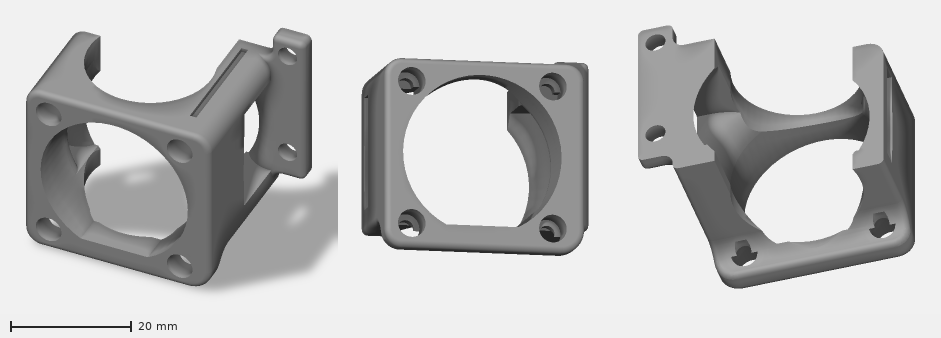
import cadquery as cq
import math

body_width = 34.0
body_height = 32.0
total_depth = 27.35
left_depth = 18.5
right_wall_inner_x = 26.7
corner_radius = 3.0
low_right_corner_radius = 4.0
edge_radius = 1.0

foot_depth = 4.0
raised_bottom_z = 5.05
foot_arc_radius = 4.0

axis_x = 16.5
axis_z = 16.0
bore_radius = 13.5
bore_floor_z = 4.0

cavity_front_y = 13.7
cavity_low_z = 8.95
cavity_high_z = 27.95
left_slot_width = 2.8
left_flare_radius = 4.1
right_front_flare_radius = 5.6
right_rear_flare_radius = 5.0

cross_bore_radius = 11.1
cross_bore_x = 16.05
cross_bore_y = 15.35

screw_pitch = 24.0
screw_head_diameter = 4.7
screw_pilot_diameter = 2.7
head_depth = 4.9
pilot_depth = 2.0

groove_x = 28.1
groove_width = 1.2
groove_depth = 0.72
groove_round = 0.3
groove_front_y = 4.85
groove_rear_y = 25.3

ear_right_x = 40.05
ear_low_z = 8.45
ear_high_z = 37.0
ear_thickness = 3.0
ear_blend_radius = 2.0
ear_hole_diameter = 3.5
ear_hole_x = 37.0
ear_low_hole_z = 13.75
ear_hole_pitch = 20.0

ear_front_y = total_depth - ear_thickness

overrun = 0.4


def box(x0, x1, y0, y1, z0, z1):
    """Block spanning the given limits."""
    return cq.Workplane("XY").box(x1 - x0, y1 - y0, z1 - z0, centered=False).translate((x0, y0, z0))


def rod_y(x, z, radius, y0, y1):
    """Cylinder along Y between y0 and y1."""
    return cq.Workplane("XZ", origin=(x, y0, z)).circle(radius).extrude(y0 - y1)


def make_shell():
    """Rounded block with the raised underside and rounded outer edges."""
    shell = box(0, body_width, 0, total_depth, 0, body_height)
    shell = shell.edges("|Y").edges("<X or >Z").fillet(corner_radius)
    low_right_edge = cq.selectors.NearestToPointSelector((body_width, total_depth / 2, 0))
    shell = shell.edges(low_right_edge).fillet(low_right_corner_radius)
    arc_center_y = foot_depth + foot_arc_radius
    arc_center_z = raised_bottom_z - foot_arc_radius
    arc_step = foot_arc_radius * math.sqrt(0.5)
    underside = (
        cq.Workplane("YZ", origin=(-overrun, 0, 0))
        .moveTo(foot_depth, -overrun)
        .lineTo(foot_depth, arc_center_z)
        .threePointArc((arc_center_y - arc_step, arc_center_z + arc_step), (arc_center_y, raised_bottom_z))
        .lineTo(total_depth + overrun, raised_bottom_z)
        .lineTo(total_depth + overrun, -overrun)
        .close()
        .extrude(body_width + 2 * overrun)
    )
    shell = shell.cut(underside)
    shell = shell.faces("<Y").edges().fillet(edge_radius)
    foot_edge = cq.selectors.NearestToPointSelector((body_width / 2, foot_depth, 0))
    return shell.edges(foot_edge).fillet(edge_radius)


def make_ear():
    """Mounting plate blended into the top and right side of the shell."""
    r = ear_blend_radius
    arc_offset = r * (1 - math.sqrt(0.5))
    wall_x = body_width
    inner_x = body_width - 2 * r
    plate = (
        cq.Workplane("XZ", origin=(0, total_depth, 0))
        .moveTo(inner_x, body_height)
        .lineTo(wall_x - r, body_height)
        .threePointArc((wall_x - arc_offset, body_height + arc_offset), (wall_x, body_height + r))
        .lineTo(wall_x, ear_high_z)
        .lineTo(ear_right_x, ear_high_z)
        .lineTo(ear_right_x, ear_low_z)
        .lineTo(wall_x + r, ear_low_z)
        .threePointArc((wall_x + arc_offset, ear_low_z - arc_offset), (wall_x, ear_low_z - r))
        .lineTo(inner_x, ear_low_z - r)
        .close()
        .extrude(ear_thickness)
    )
    plate = plate.edges("|Y").edges(">X or >Z").fillet(edge_radius)
    return plate.faces("<Y").edges().fillet(edge_radius)


def cut_ear_holes(part):
    for z in (ear_low_hole_z, ear_low_hole_z + ear_hole_pitch):
        hole = rod_y(ear_hole_x, z, ear_hole_diameter / 2, ear_front_y - overrun, total_depth + overrun)
        part = part.cut(hole)
    return part


def make_bore():
    """Round bore through the part, cut off below by the flat floor."""
    bore = rod_y(axis_x, axis_z, bore_radius, -overrun, total_depth + overrun)
    return bore.intersect(box(0, body_width, -overrun, total_depth + overrun, bore_floor_z, body_height))


def make_flare(plane_y, radius, direction):
    """Trumpet from the mouth at plane_y down to the bore; direction is its sense along Y."""
    arc_offset = radius * (1 - math.sqrt(0.5))
    throat_y = plane_y + direction * radius
    return (
        cq.Workplane("XY")
        .moveTo(0, plane_y)
        .lineTo(bore_radius + radius, plane_y)
        .threePointArc(
            (bore_radius + arc_offset, plane_y + direction * arc_offset), (bore_radius, throat_y))
        .lineTo(0, throat_y)
        .close()
        .revolve(360, (0, 0, 0), (0, 1, 0))
        .translate((axis_x, 0, axis_z))
    )


def make_cavity(x0, x1, rear_y, front_flare_radius, rear_flare_radius):
    """Rectangular opening whose front and rear walls flare smoothly into the bore."""
    block = box(x0, x1, cavity_front_y, rear_y, cavity_low_z, cavity_high_z)
    limits = box(x0, x1, 0, rear_y + rear_flare_radius, cavity_low_z, cavity_high_z)
    front_flare = make_flare(cavity_front_y, front_flare_radius, -1)
    rear_flare = make_flare(rear_y, rear_flare_radius, 1)
    return block.union(front_flare.intersect(limits)).union(rear_flare.intersect(limits))


def cut_screw_hole(part, x, z):
    """Blind screw hole with a wider recess for the head."""
    pilot_end = head_depth + pilot_depth
    part = part.cut(rod_y(x, z, screw_head_diameter / 2, -overrun, head_depth))
    return part.cut(rod_y(x, z, screw_pilot_diameter / 2, head_depth, pilot_end))


def cut_lower_half_recess(part, x, z, rear_y):
    """Deepen the half of a head recess that lies below the cavity ceiling."""
    recess = rod_y(x, z, screw_head_diameter / 2, head_depth, rear_y)
    below_ceiling = box(0, body_width, 0, rear_y, cavity_low_z, cavity_high_z)
    return part.cut(recess.intersect(below_ceiling))


def make_groove():
    """Shallow groove whose floor curves up into its right wall."""
    right_x = groove_x + groove_width
    floor_z = body_height - groove_depth
    arc_offset = groove_round * (1 - math.sqrt(0.5))
    return (
        cq.Workplane("XZ", origin=(0, groove_rear_y, 0))
        .moveTo(groove_x, body_height + overrun)
        .lineTo(groove_x, floor_z)
        .lineTo(right_x - groove_round, floor_z)
        .threePointArc((right_x - arc_offset, floor_z + arc_offset), (right_x, floor_z + groove_round))
        .lineTo(right_x, body_height + overrun)
        .close()
        .extrude(groove_rear_y - groove_front_y)
    )


part = make_shell()

part = part.cut(box(
    -overrun, right_wall_inner_x, left_depth, total_depth + overrun, -overrun, body_height + overrun))
part = cut_ear_holes(part.union(make_ear()))

part = part.cut(make_bore())
left_slot_rear_y = cavity_front_y + left_slot_width
left_cavity = make_cavity(-overrun, axis_x, left_slot_rear_y, left_flare_radius, left_flare_radius)
right_cavity = make_cavity(
    axis_x, ear_right_x, ear_front_y, right_front_flare_radius, right_rear_flare_radius)
part = part.cut(left_cavity).cut(right_cavity)
cross_bore = cq.Workplane("XY").center(cross_bore_x, cross_bore_y).circle(cross_bore_radius)
part = part.cut(cross_bore.extrude(body_height + overrun))

left_screw_x = axis_x - screw_pitch / 2
right_screw_x = axis_x + screw_pitch / 2
low_screw_z = axis_z - screw_pitch / 2
high_screw_z = axis_z + screw_pitch / 2
for screw_x in (left_screw_x, right_screw_x):
    for screw_z in (low_screw_z, high_screw_z):
        part = cut_screw_hole(part, screw_x, screw_z)

part = cut_lower_half_recess(part, left_screw_x, high_screw_z, cavity_front_y)
part = cut_lower_half_recess(part, right_screw_x, high_screw_z, head_depth + pilot_depth)

result = part.cut(make_groove())